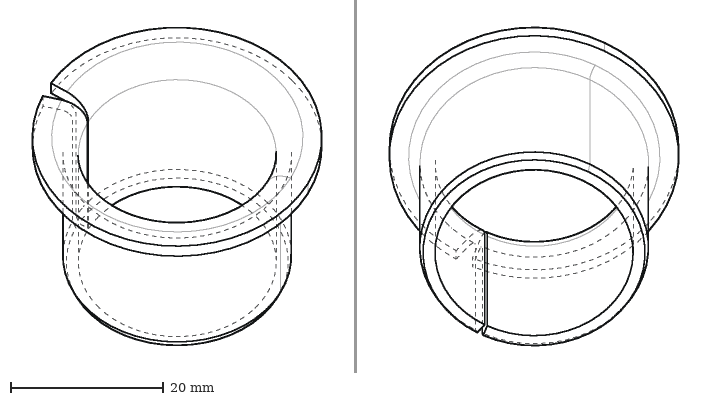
import cadquery as cq
import math

flange_radius = 19.0
tube_radius = 15.0
wall = 2.0
height = 25.0
outer_bend = 1.5
chamfer_height = 1.2
chamfer_angle = 20.0

split_angle = 10.0
split_inner_width = 0.35

bore_radius = tube_radius - wall
inner_bend = outer_bend + wall
bend_center_radius = tube_radius + outer_bend
bend_center_height = height - inner_bend
flange_bottom = height - wall
chamfer_width = chamfer_height * math.tan(math.radians(chamfer_angle))
diagonal = math.sqrt(0.5)


def bend_midpoint(radius):
    """Middle of a quarter bend, as (radial, height)."""
    return (
        bend_center_radius - radius * diagonal,
        bend_center_height + radius * diagonal,
    )


def make_body():
    """Revolve the wall section: tube, bend and flange."""
    return (
        cq.Workplane("XZ")
        .moveTo(bore_radius, 0)
        .lineTo(tube_radius - chamfer_width, 0)
        .lineTo(tube_radius, chamfer_height)
        .lineTo(tube_radius, bend_center_height)
        .threePointArc(bend_midpoint(outer_bend), (bend_center_radius, flange_bottom))
        .lineTo(flange_radius, flange_bottom)
        .lineTo(flange_radius, height)
        .lineTo(bend_center_radius, height)
        .threePointArc(bend_midpoint(inner_bend), (bore_radius, bend_center_height))
        .close()
        .revolve(360, (0, 0, 0), (0, 1, 0))
    )


def make_split():
    """Wedge that cuts through the wall and flange over the full height."""
    slope = math.tan(math.radians(split_angle))
    apex_x = -bore_radius + split_inner_width / 2 / slope
    far_x = -1.2 * flange_radius
    half_width = (apex_x - far_x) * slope
    return (
        cq.Workplane("XY")
        .polyline([(apex_x, 0), (far_x, half_width), (far_x, -half_width)])
        .close()
        .extrude(height)
    )


result = make_body().cut(make_split())